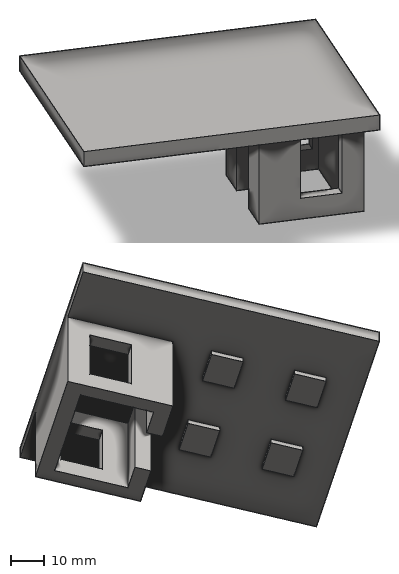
import cadquery as cq

plate_width = 70.0
plate_length = 93.0
plate_thickness = 5.0

block_width = 36.0
block_length = 33.0
block_height = 35.0
block_center_y = (plate_length - block_length) / 2

side_wall = 3.7
end_wall = 5.0
cavity_width = block_width - 2 * side_wall
cavity_length = block_length - 2 * end_wall

slot_width = 13.0
slot_center_y = plate_length / 2 - block_length + end_wall / 2

window_length = 13.0
window_height = 21.0
window_back_margin = 7.0
window_bottom_margin = 7.0
window_center_y = plate_length / 2 - window_back_margin - window_length / 2
window_bottom = -block_height + window_bottom_margin

pad_side = 9.95
pad_height = 2.0
pad_pitch_y = 26.0
front_pad_margin = 11.9
pad_offset_x = (block_width - pad_side) / 2
front_pad_y = -plate_length / 2 + front_pad_margin + pad_side / 2


def box(width, length, height, center_x, center_y, bottom):
    """Make a box centred in X and Y that rises from the given bottom height."""
    solid = cq.Workplane("XY").box(width, length, height, centered=(True, True, False))
    return solid.translate((center_x, center_y, bottom))


plate = box(plate_width, plate_length, plate_thickness, 0, 0, 0)

block = box(block_width, block_length, block_height, 0, block_center_y, -block_height)
cavity = box(cavity_width, cavity_length, block_height, 0, block_center_y, -block_height)
slot = box(slot_width, end_wall, block_height, 0, slot_center_y, -block_height)
window = box(block_width, window_length, window_height, 0, window_center_y, window_bottom)
block = block.cut(cavity).cut(slot).cut(window)

result = plate.union(block)

for pad_x in (-pad_offset_x, pad_offset_x):
    for pad_y in (front_pad_y, front_pad_y + pad_pitch_y):
        result = result.union(box(pad_side, pad_side, pad_height, pad_x, pad_y, -pad_height))